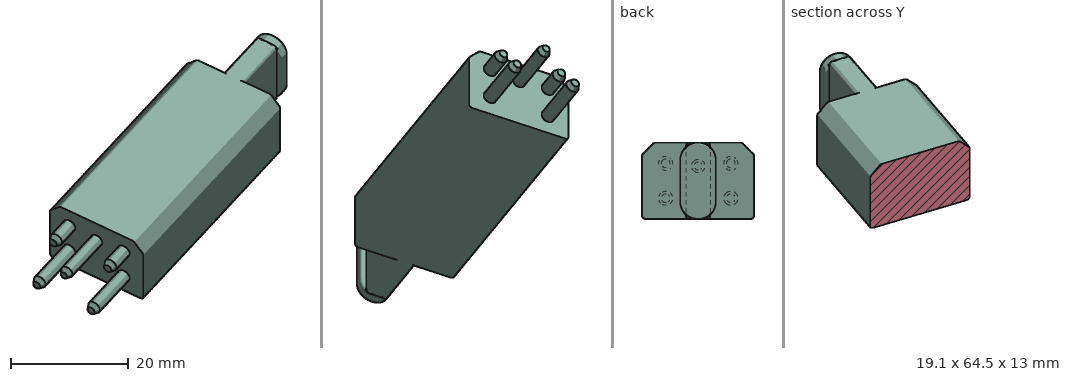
import cadquery as cq

total_length = 64.5
width = 19.1
height = 13.0

corner_chamfer = 2.05
long_edge_radius = 0.65
back_edge_radius = 0.4

long_pin_length = 10.1
short_pin_length = 5.0
pin_diameter = 2.4
center_pin_diameter = 2.25
pin_tip_length = 0.95
pin_tip_taper = 0.45
pin_side_offset = 5.55
lower_pin_height = 3.6
upper_pin_height = 9.55
center_pin_height = 9.1

handle_length = 11.95
neck_width = 4.1
neck_edge_radius = 0.65
head_width = 6.05
head_thickness = 2.0
head_corner_radius = 2.95
head_edge_radius = 0.4

body_length = total_length - long_pin_length - handle_length
neck_end = body_length + handle_length - head_thickness


def block(block_width, length):
    """Full-height block running from Y = 0 to +Y, resting on Z = 0."""
    return cq.Workplane("XY").box(block_width, length, height, centered=(True, False, False))


def make_body():
    body = block(width, body_length)
    body = body.edges("|Y and >Z").chamfer(corner_chamfer)
    body = body.edges("|Y").fillet(long_edge_radius)
    return body.faces(">Y").edges().fillet(back_edge_radius)


def make_neck(end):
    """Neck up to Y = end; it starts inside the body so it runs past the body's back edge."""
    neck_start = body_length - back_edge_radius
    neck = block(neck_width, end - neck_start)
    return neck.edges("|Y").fillet(neck_edge_radius).translate((0, neck_start, 0))


def make_head():
    head = block(head_width, head_thickness).translate((0, neck_end, 0))
    head = head.edges("|Y").fillet(head_corner_radius)
    rounded_head = head.faces("<Y or >Y").edges().fillet(head_edge_radius)
    neck_joint = head.intersect(make_neck(neck_end + head_edge_radius))
    return rounded_head.union(neck_joint)


def make_pin(x, z, diameter, length):
    """Round pin toward -Y with a tapered tip."""
    pin = cq.Workplane("XZ", origin=(x, 0, z)).circle(diameter / 2).extrude(length)
    return pin.faces("<Y").chamfer(pin_tip_length, pin_tip_taper)


result = make_body().union(make_neck(neck_end)).union(make_head())

for side in (-1, 1):
    pin_x = side * pin_side_offset
    result = result.union(make_pin(pin_x, lower_pin_height, pin_diameter, long_pin_length))
    result = result.union(make_pin(pin_x, upper_pin_height, pin_diameter, short_pin_length))
result = result.union(make_pin(0, center_pin_height, center_pin_diameter, long_pin_length))